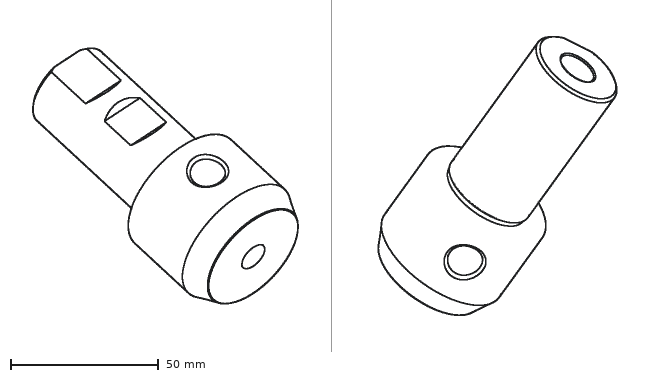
import cadquery as cq


total_length = 98.0
undercut_start = 57.9
head_start = 60.0
nose_start = 89.2

shank_radius = 32.0 / 2
undercut_radius = 31.0 / 2
head_radius = 48.0 / 2
nose_end_radius = 20.1
nose_sag = 0.1
shank_chamfer = 1.0
head_fillet = 1.0
nose_edge_chamfer = 0.3

bore_radius = 10.1 / 2
entry_radius = 13.0 / 2
entry_depth = 29.4
entry_chamfer = 0.5

cross_hole_x = 74.0
cross_hole_diameter = 11.9
cross_hole_chamfer = 1.2

flat_depth = 2.1
flat_spans = [(0.0, 19.0), (29.0, 42.8)]


def make_body():
    """Revolve the outer outline of shank, undercut, head and slightly hollow nose."""
    nose_end = total_length - nose_edge_chamfer
    nose_middle = (
        (nose_start + nose_end) / 2,
        (head_radius + nose_end_radius) / 2 - nose_sag,
    )
    return (
        cq.Workplane("XY")
        .lineTo(0, shank_radius - shank_chamfer)
        .lineTo(shank_chamfer, shank_radius)
        .lineTo(undercut_start, shank_radius)
        .lineTo(undercut_start, undercut_radius)
        .lineTo(head_start, undercut_radius)
        .lineTo(head_start, head_radius - head_fillet)
        .radiusArc((head_start + head_fillet, head_radius), head_fillet)
        .lineTo(nose_start, head_radius)
        .threePointArc(nose_middle, (nose_end, nose_end_radius))
        .lineTo(total_length, nose_end_radius - nose_edge_chamfer)
        .lineTo(total_length, 0)
        .close()
        .revolve(360, (0, 0, 0), (1, 0, 0))
    )


def make_bore():
    """Through bore with a wider, chamfered entry that ends in a 45 degree cone."""
    cone_end = entry_depth + entry_radius - bore_radius
    return (
        cq.Workplane("XY")
        .lineTo(0, entry_radius + entry_chamfer)
        .lineTo(entry_chamfer, entry_radius)
        .lineTo(entry_depth, entry_radius)
        .lineTo(cone_end, bore_radius)
        .lineTo(total_length, bore_radius)
        .lineTo(total_length, 0)
        .close()
        .revolve(360, (0, 0, 0), (1, 0, 0))
    )


def make_flat_cutter(start, end):
    """Trapezoid notch across the top of the shank with 45 degree end ramps."""
    floor_z = shank_radius - flat_depth
    return (
        cq.Workplane("XZ")
        .moveTo(start, floor_z)
        .lineTo(end, floor_z)
        .lineTo(end + flat_depth, shank_radius)
        .lineTo(start - flat_depth, shank_radius)
        .close()
        .extrude(shank_radius, both=True)
    )


def add_cross_hole(body):
    """Drill through the head along Z and chamfer both mouths."""
    drill = (
        cq.Workplane("XY")
        .center(cross_hole_x, 0)
        .circle(cross_hole_diameter / 2)
        .extrude(head_radius, both=True)
    )
    drilled = body.cut(drill)
    return drilled.edges("not(%LINE or %CIRCLE)").chamfer(cross_hole_chamfer)


result = add_cross_hole(make_body())
for flat_start, flat_end in flat_spans:
    result = result.cut(make_flat_cutter(flat_start, flat_end))
result = result.cut(make_bore())